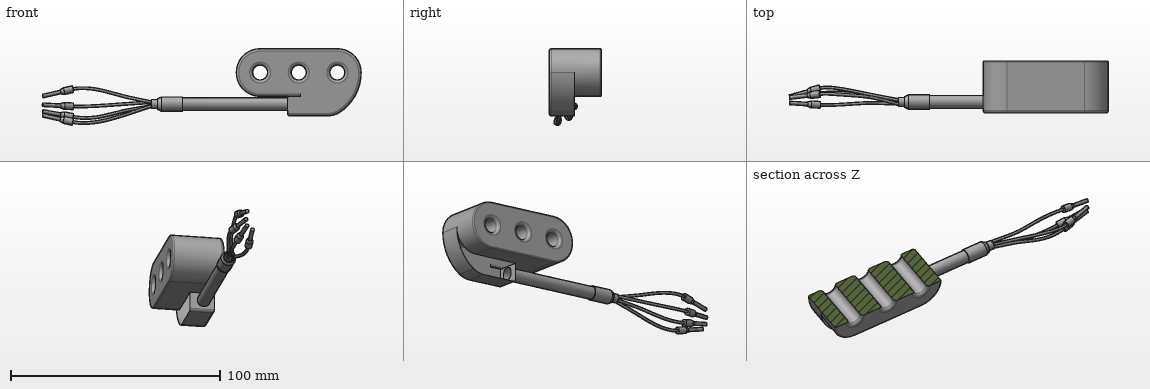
import cadquery as cq
import math


hole_pitch = 18.5
hole_diameter = 7.0
hole_mouth_radius = 1.5
end_radius = 11.5
block_depth = 25.0
front_rounding = 1.2
back_rounding = 0.6

lobe_left = -5.3
lobe_bottom = -20.8
lobe_depth = 12.0
lobe_joint = 0.8
lobe_side_radius = 2 * end_radius
lobe_corner_radius = 10.7
block_right = hole_pitch + end_radius

cable_y = 5.3
cable_z = -15.1
jacket_diameter = 6.3
sleeve_diameter = 7.0
sleeve_right = -55.5
sleeve_left = -65.6
sleeve_nose_left = -67.5
sleeve_nose_diameter = 5.3
core_diameter = 4.5
core_left = -70.5

wire_diameter = 1.4
wire_offset = 0.9
overall_length = 152.6
tip_slant = 0.25
tip_x = block_right - overall_length + tip_slant
collar_x = -108.0
bend_x = -97.7
run_in_x = -84.0
pin_diameter = 1.8
collar_diameter = 3.4
collar_length = 4.5
taper_length = 1.7
taper_diameter = 2.1

wire_routes = [
    ((7.5, -11.3), (9.2, -8.0), (8.9, -8.0), (7.6, -11.3), (-1, 1)),
    ((8.0, -15.4), (11.9, -16.2), (11.6, -16.0), (8.9, -15.1), (1, 1)),
    ((7.5, -18.6), (9.5, -21.2), (9.8, -21.5), (8.0, -18.5), (1, -1)),
    ((4.9, -20.5), (4.0, -23.7), (4.1, -23.8), (4.9, -20.5), (-1, -1)),
]


def front_plane():
    """XZ plane on the front face whose normal points into the block."""
    return cq.Workplane(cq.Plane(origin=(0, 0, 0), xDir=(-1, 0, 0), normal=(0, 1, 0)))


def make_block():
    length = 2 * (hole_pitch + end_radius)
    block = front_plane().slot2D(length, 2 * end_radius).extrude(block_depth)
    block = block.faces("<Y").edges().fillet(front_rounding)
    return block.faces(">Y").edges().fillet(back_rounding)


def make_lobe():
    side_centre_x = block_right - lobe_side_radius
    corner_centre_z = lobe_bottom + lobe_corner_radius
    centre_distance = lobe_side_radius - lobe_corner_radius
    corner_centre_x = side_centre_x + math.sqrt(centre_distance**2 - corner_centre_z**2)
    meeting_angle = math.atan2(corner_centre_z, corner_centre_x - side_centre_x)

    def on_side_arc(angle):
        return (side_centre_x + lobe_side_radius * math.cos(angle), lobe_side_radius * math.sin(angle))

    def on_corner_arc(angle):
        return (
            corner_centre_x + lobe_corner_radius * math.cos(angle),
            corner_centre_z + lobe_corner_radius * math.sin(angle),
        )

    corner_middle_angle = (meeting_angle - math.pi / 2) / 2
    lobe = (
        cq.Workplane("XZ")
        .moveTo(lobe_joint, 0)
        .lineTo(block_right, 0)
        .threePointArc(on_side_arc(meeting_angle / 2), on_side_arc(meeting_angle))
        .threePointArc(on_corner_arc(corner_middle_angle), (corner_centre_x, lobe_bottom))
        .lineTo(lobe_left, lobe_bottom)
        .lineTo(lobe_left, -end_radius)
        .lineTo(lobe_joint, -end_radius)
        .close()
        .extrude(-lobe_depth)
    )
    bottom_front = cq.selectors.NearestToPointSelector(((lobe_left + corner_centre_x) / 2, 0, lobe_bottom))
    bottom_left = cq.selectors.NearestToPointSelector((lobe_left, lobe_depth / 2, lobe_bottom))
    return lobe.edges(cq.selectors.SumSelector(bottom_front, bottom_left)).fillet(front_rounding)


def drill_holes(body):
    hole_radius = hole_diameter / 2
    mouth = hole_radius + hole_mouth_radius
    near = hole_mouth_radius
    far = block_depth - hole_mouth_radius
    arc_reach = hole_mouth_radius * (1 - math.sqrt(0.5))
    cutter = (
        cq.Workplane("XY")
        .lineTo(mouth, 0)
        .threePointArc((hole_radius + arc_reach, arc_reach), (hole_radius, near))
        .lineTo(hole_radius, far)
        .threePointArc((hole_radius + arc_reach, block_depth - arc_reach), (mouth, block_depth))
        .lineTo(0, block_depth)
        .close()
        .revolve(360, (0, 0, 0), (0, 1, 0))
    )
    for hole_x in (-hole_pitch, 0, hole_pitch):
        body = body.cut(cutter.translate((hole_x, 0, 0)))
    return body


def make_cable():
    """Stepped jacket, sleeve and core as one turned shape along X."""
    outline = [
        (core_left, 0),
        (core_left, core_diameter / 2),
        (sleeve_nose_left, core_diameter / 2),
        (sleeve_nose_left, sleeve_nose_diameter / 2),
        (sleeve_left, sleeve_diameter / 2),
        (sleeve_right, sleeve_diameter / 2),
        (sleeve_right, jacket_diameter / 2),
        (lobe_left, jacket_diameter / 2),
        (lobe_left, 0),
    ]
    cable = cq.Workplane("XY").polyline(outline).close().revolve(360, (0, 0, 0), (1, 0, 0))
    return cable.translate((0, cable_y, cable_z))


def make_housing():
    """Block, lobe and moulded-on cable form one body."""
    return drill_holes(make_block().union(make_lobe())).union(make_cable())


def make_ferrule(tip, collar_end):
    """Turned crimp ferrule: collar at the wire, taper, then the pin up to the tip."""
    axis = tip - collar_end
    outline = [
        (0, 0),
        (0, collar_diameter / 2),
        (collar_length, collar_diameter / 2),
        (collar_length + taper_length, taper_diameter / 2),
        (collar_length + taper_length, pin_diameter / 2),
        (axis.Length, pin_diameter / 2),
        (axis.Length, 0),
    ]
    side = axis.cross(cq.Vector(0, 0, 1))
    plane = cq.Plane(origin=collar_end.toTuple(), xDir=axis.toTuple(), normal=side.toTuple())
    return cq.Workplane(plane).polyline(outline).close().revolve(360, (0, 0, 0), (1, 0, 0))


def make_wire(route, housing):
    tip_yz, collar_yz, bend_yz, run_in_yz, (y_side, z_side) = route
    tip = cq.Vector(tip_x, *tip_yz)
    collar_end = cq.Vector(collar_x, *collar_yz)
    core_end = cq.Vector(core_left, cable_y + y_side * wire_offset, cable_z + z_side * wire_offset)
    points = [collar_end, cq.Vector(bend_x, *bend_yz), cq.Vector(run_in_x, *run_in_yz), core_end]
    along_ferrule = (collar_end - tip).normalized()
    into_core = (core_end - points[-2]).normalized()
    path = cq.Edge.makeSpline(points, tangents=[along_ferrule, into_core])
    plane = cq.Plane(origin=collar_end.toTuple(), normal=along_ferrule.toTuple())
    strand_path = cq.Workplane(cq.Wire.assembleEdges([path]))
    strand = cq.Workplane(plane).circle(wire_diameter / 2).sweep(strand_path)
    return make_ferrule(tip, collar_end).union(strand.cut(housing))


housing = make_housing()
wires = [make_wire(route, housing) for route in wire_routes]

result = cq.Compound.makeCompound([housing.val(), *[wire.val() for wire in wires]])